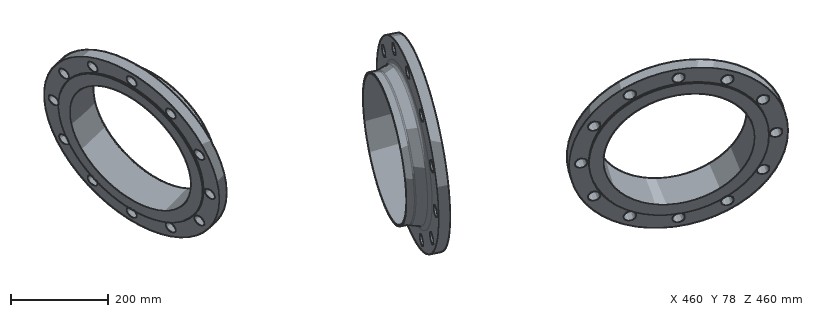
import cadquery as cq

flange_diameter = 460.0
flange_thickness = 25.0
total_length = 78.0
bore_diameter = 317.5
face_diameter = 378.0
face_height = 4.0
neck_diameter = 324.0
neck_length = 18.0
neck_blend_radius = 10.0
hub_base_diameter = 344.0
hub_fillet_radius = 10.0
bolt_circle_diameter = 410.0
bolt_hole_diameter = 26.0
bolt_count = 12
edge_tolerance = 0.05

flange_back = face_height + flange_thickness
neck_start = total_length - neck_length


def fillet_ring(body, diameter, position, radius):
    """Fillet the circular edge of the given diameter at one axial position."""
    ring_edges = body.edges("%CIRCLE").filter(
        lambda edge: abs(edge.radius() - diameter / 2) < edge_tolerance
        and abs(edge.Center().y - position) < edge_tolerance
    )
    return body.newObject(ring_edges.vals()).fillet(radius)


def make_body():
    """Revolve the half section (radius, axial position) about the Y axis."""
    body = (
        cq.Workplane("XY")
        .moveTo(bore_diameter / 2, 0)
        .lineTo(face_diameter / 2, 0)
        .lineTo(face_diameter / 2, face_height)
        .lineTo(flange_diameter / 2, face_height)
        .lineTo(flange_diameter / 2, flange_back)
        .lineTo(hub_base_diameter / 2, flange_back)
        .lineTo(neck_diameter / 2, neck_start)
        .lineTo(neck_diameter / 2, total_length)
        .lineTo(bore_diameter / 2, total_length)
        .close()
        .revolve(360, (0, 0, 0), (0, 1, 0))
    )
    body = fillet_ring(body, hub_base_diameter, flange_back, hub_fillet_radius)
    return fillet_ring(body, neck_diameter, neck_start, neck_blend_radius)


def make_bolt_holes():
    """Through holes on the bolt circle, the first one on the X axis."""
    return (
        cq.Workplane("XZ")
        .polarArray(bolt_circle_diameter / 2, 0, 360, bolt_count)
        .circle(bolt_hole_diameter / 2)
        .extrude(-flange_back)
    )


result = make_body().cut(make_bolt_holes())